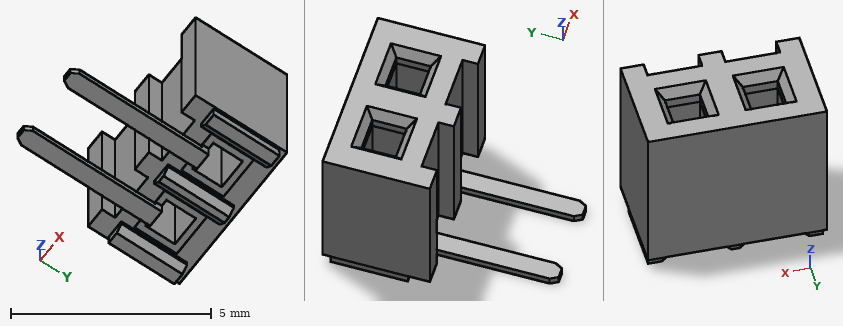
import cadquery as cq

CONTACT_COUNT = 2
PITCH = 2.0
OVERALL_LENGTH = 5.8

RIB_WIDTH = 0.6
RIB_DEPTH = 0.4
BLOCK_DEPTH = 2.4
HOUSING_HEIGHT = 3.995
HOUSING_WIDTH = CONTACT_COUNT * PITCH + RIB_WIDTH

FOOT_HEIGHT = 0.3
FOOT_CHAMFER = 0.2
FOOT_LENGTH = 2.01
FOOT_BACK_INSET = 0.2
FOOT_SIDE_INSET = 0.05

SOCKET_CENTER_Y = -1.2
SOCKET_WIDTH = 0.9
SLEEVE_WALL = 0.2
SLEEVE_WIDTH = SOCKET_WIDTH + 2 * SLEEVE_WALL
SLEEVE_HEIGHT = 3.5
FUNNEL_WIDTH = 1.305
FUNNEL_DEPTH = 0.25

TAIL_WIDTH = 0.5
TAIL_THICKNESS = 0.215
TAIL_TIP_WIDTH = 0.27
TAIL_TIP_LENGTH = 0.2
TAIL_BACK_Y = SOCKET_CENTER_Y - SOCKET_WIDTH / 2

contact_positions = [(i - (CONTACT_COUNT - 1) / 2) * PITCH for i in range(CONTACT_COUNT)]
rib_positions = [(i - CONTACT_COUNT / 2) * PITCH for i in range(CONTACT_COUNT + 1)]


def square_prism(x, width, bottom, height):
    """Upright square prism on a socket axis."""
    return cq.Workplane("XY", origin=(x, SOCKET_CENTER_Y, bottom)).rect(width, width).extrude(height)


def make_funnel(x):
    """Lead-in cutter tapering from the top face down to the socket."""
    return (
        cq.Workplane("XY", origin=(x, SOCKET_CENTER_Y, HOUSING_HEIGHT - FUNNEL_DEPTH))
        .rect(SOCKET_WIDTH, SOCKET_WIDTH)
        .workplane(offset=FUNNEL_DEPTH)
        .rect(FUNNEL_WIDTH, FUNNEL_WIDTH)
        .loft(ruled=True)
    )


def make_rib(x):
    """Full-height rib on the front face of the block."""
    return cq.Workplane("XY", origin=(x, -BLOCK_DEPTH - RIB_DEPTH / 2, 0)).rect(
        RIB_WIDTH, RIB_DEPTH
    ).extrude(HOUSING_HEIGHT)


def make_foot(x):
    """Foot under a rib: inner lower edges chamfered, outer sides plain and set in."""
    left = x - RIB_WIDTH / 2
    right = x + RIB_WIDTH / 2
    left_chamfer = FOOT_CHAMFER
    right_chamfer = FOOT_CHAMFER
    if x == rib_positions[0]:
        left += FOOT_SIDE_INSET
        left_chamfer = 0
    if x == rib_positions[-1]:
        right -= FOOT_SIDE_INSET
        right_chamfer = 0

    outline = cq.Workplane("XZ", origin=(0, -FOOT_BACK_INSET, 0)).moveTo(left, 0).lineTo(right, 0)
    if right_chamfer:
        outline = outline.lineTo(right, right_chamfer - FOOT_HEIGHT)
    outline = outline.lineTo(right - right_chamfer, -FOOT_HEIGHT)
    outline = outline.lineTo(left + left_chamfer, -FOOT_HEIGHT)
    if left_chamfer:
        outline = outline.lineTo(left, left_chamfer - FOOT_HEIGHT)
    return outline.close().extrude(FOOT_LENGTH)


def make_housing():
    """Ribbed block with feet, and a funnelled through socket for each contact."""
    body = cq.Workplane("XY").box(
        HOUSING_WIDTH, BLOCK_DEPTH, HOUSING_HEIGHT, centered=(True, False, False)
    ).translate((0, -BLOCK_DEPTH, 0))
    for x in rib_positions:
        body = body.union(make_rib(x)).union(make_foot(x))
    for x in contact_positions:
        body = body.cut(square_prism(x, SOCKET_WIDTH, 0, HOUSING_HEIGHT))
        body = body.cut(square_prism(x, SLEEVE_WIDTH, 0, SLEEVE_HEIGHT))
        body = body.cut(make_funnel(x))
    return body


def make_contact(x):
    """Square sleeve whose front wall runs down into a pointed, forward-facing tail."""
    sleeve = square_prism(x, SLEEVE_WIDTH, 0, SLEEVE_HEIGHT).cut(
        square_prism(x, SOCKET_WIDTH, 0, SLEEVE_HEIGHT)
    )
    drop = cq.Workplane("XY", origin=(x, TAIL_BACK_Y - SLEEVE_WALL / 2, -FOOT_HEIGHT)).rect(
        TAIL_WIDTH, SLEEVE_WALL
    ).extrude(FOOT_HEIGHT)
    tail = (
        cq.Workplane("XY", origin=(x, 0, -FOOT_HEIGHT))
        .moveTo(-TAIL_WIDTH / 2, TAIL_BACK_Y)
        .lineTo(-TAIL_WIDTH / 2, TAIL_TIP_LENGTH - OVERALL_LENGTH)
        .lineTo(-TAIL_TIP_WIDTH / 2, -OVERALL_LENGTH)
        .lineTo(TAIL_TIP_WIDTH / 2, -OVERALL_LENGTH)
        .lineTo(TAIL_WIDTH / 2, TAIL_TIP_LENGTH - OVERALL_LENGTH)
        .lineTo(TAIL_WIDTH / 2, TAIL_BACK_Y)
        .close()
        .extrude(TAIL_THICKNESS)
    )
    return sleeve.union(drop).union(tail)


housing = make_housing()
contacts = [make_contact(x) for x in contact_positions]

result = cq.Compound.makeCompound([housing.val(), *[contact.val() for contact in contacts]])